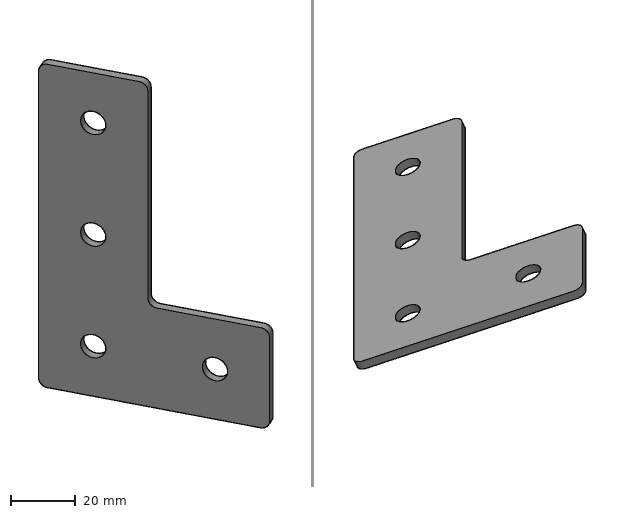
import cadquery as cq

height = 116.0
width = 76.0
thickness = 3.0
arm_width = 36.0
corner_radius = 3.0
hole_diameter = 8.2
hole_pitch = 40.0

hole_inset = arm_width / 2


def l_plate():
    """L-shaped plate standing in the XZ plane, with every corner rounded."""
    outline = [
        (0, 0),
        (width, 0),
        (width, arm_width),
        (arm_width, arm_width),
        (arm_width, height),
        (0, height),
    ]
    plate = cq.Workplane("XZ").polyline(outline).close().extrude(-thickness)
    return plate.edges("|Y").fillet(corner_radius)


def bolt_holes():
    """Through-hole cutters: three up the tall arm and one along the short arm."""
    corner = (hole_inset, hole_inset)
    centres = [corner, (hole_inset + hole_pitch, hole_inset)]
    for step in (1, 2):
        centres.append((hole_inset, hole_inset + step * hole_pitch))
    return cq.Workplane("XZ").pushPoints(centres).circle(hole_diameter / 2).extrude(-thickness)


result = l_plate().cut(bolt_holes())